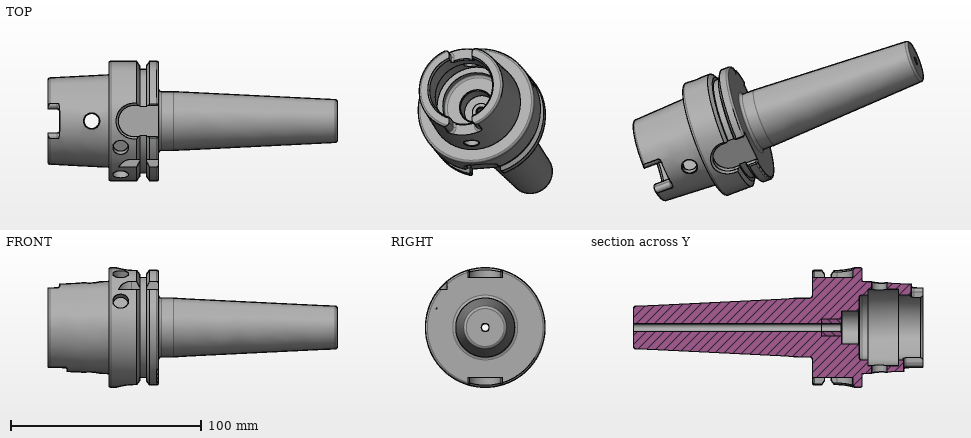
import cadquery as cq
import math


taper_face_radius = 22.6
taper_base_radius = 24.3
taper_face_round = 1.0
cross_hole_x = 23.0
cross_hole_radius = 4.0
cross_hole_chamfer = 0.3

flange_start = 31.9
flange_end = 58.0
flange_radius = 31.5
flange_front_round = 1.2
flange_back_round = 1.0
groove_radius = 27.4
groove_start = 48.2
groove_end = 51.7
groove_edge_length = 1.7
groove_edge_drop = 2.5

total_length = 152.0
shank_radius = 15.5
shank_tip_radius = 11.2
shank_cone_start = 65.8
shank_root_round = 1.5
shank_tip_round = 1.4

mouth_radius = 17.0
mouth_chamfer_length = 1.2
mouth_chamfer_rise = 0.8
mouth_length = 12.9
chamber_radius = 20.0
chamber_end = 28.9
floor_x = 33.5
floor_round = 1.4
tube_hole_radius = 8.7
tube_hole_chamfer = 0.5
tube_hole_depth = 9.1
coolant_radius = 2.0

screw_radius = 4.4
screw_length = 10.6
screw_start = floor_x + tube_hole_depth
screw_end = screw_start + screw_length
screw_chamfer = 0.5

drive_slot_half_width = 6.2
drive_slot_edge_round = 2.1
drive_slot_corner_round = 1.2
drive_slot_end_chamfer = 0.6
upper_drive_slot_depth = 6.1
lower_drive_slot_depth = 10.0

keyway_half_width = 8.2
keyway_floor = 26.3
keyway_arc_x = 45.1
keyway_flange_chamfer = 1.2
keyway_collar_chamfer = 0.8

notch_offset = 20.0
notch_end_radius = 7.6
notch_arc_x = 44.0
pocket_x = 38.2
pocket_radius = 4.1
pocket_floor = 27.4
pocket_angle = 45.0
pocket_angle_spread = 18.7

clearance = 7.6
tolerance = 0.02

quarter_circle_gap = 1 - math.sqrt(0.5)


def revolve_about_x(outline):
    """Close an outline drawn in (x, radius) and turn it about the X axis."""
    return outline.close().revolve(360, (0, 0, 0), (1, 0, 0))


def cylinder_along_x(radius, start, end):
    return cq.Workplane("YZ", origin=(start, 0, 0)).circle(radius).extrude(end - start)


def make_blank():
    """Outside of the holder: taper, flange, collar and shank."""
    edge_radius = flange_radius - groove_edge_drop
    outline = (
        cq.Workplane("XY")
        .lineTo(0, taper_face_radius)
        .lineTo(flange_start, taper_base_radius)
        .lineTo(flange_start, flange_radius)
        .lineTo(groove_start - groove_edge_length, flange_radius)
        .lineTo(groove_start, edge_radius)
        .lineTo(groove_start, groove_radius)
        .lineTo(groove_end, groove_radius)
        .lineTo(groove_end, edge_radius)
        .lineTo(groove_end + groove_edge_length, flange_radius)
        .lineTo(flange_end, flange_radius)
        .lineTo(flange_end, shank_radius)
        .lineTo(shank_cone_start, shank_radius)
        .lineTo(total_length, shank_tip_radius)
        .lineTo(total_length, 0)
    )
    blank = revolve_about_x(outline)
    rounded_edges = (
        (0, taper_face_radius, taper_face_round),
        (flange_start, flange_radius, flange_front_round),
        (flange_end, flange_radius, flange_back_round),
        (flange_end, shank_radius, shank_root_round),
        (total_length, shank_tip_radius, shank_tip_round),
    )
    for x, radius, edge_round in rounded_edges:
        blank = round_circle(blank, x, radius, edge_round)
    return blank


def round_circle(body, x, radius, edge_round):
    """Round the circular edge of the given radius at the given x."""
    circles = [
        edge
        for edge in body.edges("%CIRCLE").vals()
        if math.isclose(edge.Center().x, x, abs_tol=tolerance)
        and math.isclose(edge.radius(), radius, abs_tol=tolerance)
    ]
    return body.newObject(circles).fillet(edge_round)


def make_bore():
    """Everything removed along the axis, including the seat of the stop screw."""
    round_middle = floor_round * quarter_circle_gap
    outline = (
        cq.Workplane("XY")
        .lineTo(0, mouth_radius + mouth_chamfer_rise)
        .lineTo(mouth_chamfer_length, mouth_radius)
        .lineTo(mouth_length, mouth_radius)
        .lineTo(mouth_length, chamber_radius)
        .lineTo(chamber_end, chamber_radius)
        .lineTo(chamber_end, mouth_radius)
        .lineTo(floor_x - floor_round, mouth_radius)
        .threePointArc(
            (floor_x - round_middle, mouth_radius - round_middle),
            (floor_x, mouth_radius - floor_round),
        )
        .lineTo(floor_x, tube_hole_radius + tube_hole_chamfer)
        .lineTo(floor_x + tube_hole_chamfer, tube_hole_radius)
        .lineTo(screw_start, tube_hole_radius)
        .lineTo(screw_start, screw_radius)
        .lineTo(screw_end, screw_radius)
        .lineTo(screw_end, coolant_radius)
        .lineTo(total_length, coolant_radius)
        .lineTo(total_length, 0)
    )
    return revolve_about_x(outline)


def make_drive_slot(depth):
    """Upper slot in the taper mouth, whose long edges are rounded into the taper."""
    round_y = drive_slot_half_width + drive_slot_edge_round
    round_distance = taper_face_radius - drive_slot_edge_round
    round_z = math.sqrt(round_distance**2 - round_y**2)
    tangent_angle = math.atan2(round_z, round_y)
    middle_angle = (math.pi + tangent_angle) / 2

    def on_round(angle):
        y = round_y + drive_slot_edge_round * math.cos(angle)
        z = round_z + drive_slot_edge_round * math.sin(angle)
        return y, z

    end_y, end_z = on_round(tangent_angle)
    middle_y, middle_z = on_round(middle_angle)
    top = taper_face_radius + clearance
    slot = (
        cq.Workplane("YZ")
        .moveTo(-drive_slot_half_width, 0)
        .lineTo(drive_slot_half_width, 0)
        .lineTo(drive_slot_half_width, round_z)
        .threePointArc((middle_y, middle_z), (end_y, end_z))
        .lineTo(end_y, top)
        .lineTo(-end_y, top)
        .lineTo(-end_y, end_z)
        .threePointArc((-middle_y, middle_z), (-drive_slot_half_width, round_z))
        .close()
        .extrude(depth)
    )
    slot = slot.faces(">X").edges("not(|Y)").fillet(drive_slot_corner_round)
    return slot.union(make_drive_slot_chamfer(depth))


def make_drive_slot_chamfer(depth):
    """Chamfer between the flat end of an upper drive slot and the mouth bore."""
    cone = revolve_about_x(
        cq.Workplane("XY", origin=(depth, 0, 0))
        .lineTo(0, mouth_radius + drive_slot_end_chamfer)
        .lineTo(drive_slot_end_chamfer, mouth_radius)
        .lineTo(drive_slot_end_chamfer, 0)
    )
    flat_half_width = drive_slot_half_width - drive_slot_corner_round
    flat = cq.Workplane("XY", origin=(depth, 0, 0)).box(
        2 * drive_slot_end_chamfer, 2 * flat_half_width, taper_face_radius, centered=(True, True, False)
    )
    return cone.intersect(flat)


def drill_cross_hole(body):
    """Drill the radial hole through the taper along Z and chamfer both of its rims."""
    reach = taper_base_radius + clearance
    drill = (
        cq.Workplane("XY", origin=(cross_hole_x, 0, -reach))
        .circle(cross_hole_radius)
        .extrude(2 * reach)
    )
    margin = cross_hole_radius + tolerance
    around_hole = cq.selectors.BoxSelector(
        (cross_hole_x - margin, -margin, -reach),
        (cross_hole_x + margin, margin, reach),
        boundingbox=True,
    )
    return body.cut(drill).edges(around_hole).edges("not %LINE").chamfer(cross_hole_chamfer)


def make_keyway():
    """Upper keyway: flat floor, rounded end towards the taper, open towards the shank."""
    return (
        cq.Workplane("XY", origin=(0, 0, keyway_floor))
        .moveTo(keyway_arc_x, keyway_half_width)
        .threePointArc((keyway_arc_x - keyway_half_width, 0), (keyway_arc_x, -keyway_half_width))
        .lineTo(flange_end, -keyway_half_width)
        .lineTo(flange_end, keyway_half_width)
        .close()
        .extrude(clearance)
    )


def chamfer_keyway_edges(body, start, end, size):
    """Chamfer the edges where both keyways cut the flange radius between two x positions."""

    def on_keyway_rim(point):
        on_flange_radius = math.isclose(math.hypot(point.y, point.z), flange_radius, abs_tol=tolerance)
        on_keyway_wall = math.isclose(abs(point.y), keyway_half_width, abs_tol=tolerance)
        return on_flange_radius and on_keyway_wall and start < point.x < end

    rim_edges = [
        edge
        for edge in body.edges("not %CIRCLE").vals()
        if on_keyway_rim(edge.startPoint()) and on_keyway_rim(edge.endPoint())
    ]
    return body.newObject(rim_edges).chamfer(size)


def make_notch():
    """Square corner between -Y and +Z, milled along +X with a rounded end."""
    outer = notch_offset + notch_end_radius
    middle = notch_end_radius * quarter_circle_gap
    return (
        cq.Workplane("XY", origin=(0, 0, notch_offset))
        .moveTo(flange_end, -notch_offset)
        .lineTo(notch_arc_x, -notch_offset)
        .threePointArc(
            (notch_arc_x - notch_end_radius + middle, -notch_offset - middle),
            (notch_arc_x - notch_end_radius, -outer),
        )
        .lineTo(flange_end, -outer)
        .close()
        .extrude(clearance)
    )


def make_pocket(angle):
    """Flat-bottomed round pocket, turned from -Y towards +Z by the given angle."""
    return (
        cq.Workplane("XY", origin=(pocket_x, 0, pocket_floor))
        .circle(pocket_radius)
        .extrude(clearance)
        .rotate((0, 0, 0), (1, 0, 0), 90 - angle)
    )


def upside_down(cutter):
    return cutter.rotate((0, 0, 0), (1, 0, 0), 180)


def make_holder():
    holder = drill_cross_hole(make_blank()).cut(make_bore())
    holder = holder.cut(make_drive_slot(upper_drive_slot_depth))
    holder = holder.cut(upside_down(make_drive_slot(lower_drive_slot_depth)))
    keyway = make_keyway()
    holder = holder.cut(keyway).cut(upside_down(keyway))
    holder = chamfer_keyway_edges(holder, flange_start, groove_start, keyway_flange_chamfer)
    holder = chamfer_keyway_edges(holder, groove_end, flange_end, keyway_collar_chamfer)
    holder = holder.cut(make_notch())
    for side in (-1, 1):
        holder = holder.cut(make_pocket(pocket_angle + side * pocket_angle_spread))
    return holder


def make_stop_screw():
    screw = cylinder_along_x(screw_radius, screw_start, screw_end)
    screw = screw.cut(cylinder_along_x(coolant_radius, screw_start, screw_end))
    passage_mouth = screw.faces("<X").edges(cq.selectors.RadiusNthSelector(0))
    return passage_mouth.chamfer(screw_chamfer)


holder = make_holder()
stop_screw = make_stop_screw()
result = cq.Compound.makeCompound([holder.val(), stop_screw.val()])